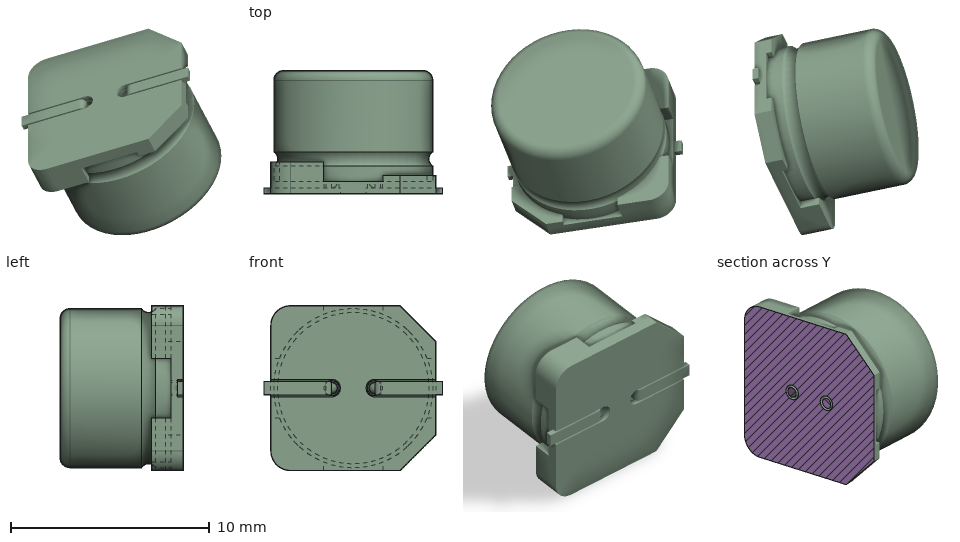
import cadquery as cq
import math


LEAD_SPAN = 9.0
TOTAL_DEPTH = 6.2
BASE_WIDTH = 8.3

CORNER_RADIUS = 1.0
CORNER_CHAMFER = 1.79
FLOOR_DEPTH = 0.62
TALL_POST_DEPTH = 1.6
SHORT_POST_DEPTH = 0.91
NOTCH_WIDTH = 3.01

CAN_RADIUS = 4.005
CAN_TOP_FILLET = 0.5
GROOVE_START = 1.395
GROOVE_END = 2.115
GROOVE_NECK_RADIUS = CAN_RADIUS - 0.2

LEAD_WIDTH = 0.675
LEAD_THICKNESS = 0.3
LEAD_TIP_X = 1.09
LEAD_BEND_LENGTH = 0.315
WIRE_RADIUS = 0.29
SLOT_WIDTH = 0.88
WIRE_HOLE_RADIUS = 0.38

HALF_BASE = BASE_WIDTH / 2
HALF_SPAN = LEAD_SPAN / 2


def box_between(x_range, y_range, z_range):
    """Axis-aligned box between the given limits."""
    sizes = [high - low for low, high in (x_range, y_range, z_range)]
    corner = (x_range[0], y_range[0], z_range[0])
    return cq.Workplane("XY").box(*sizes, centered=False).translate(corner)


def cylinder_along_y(radius, start, end, x=0):
    """Cylinder parallel to Y, centred on Z = 0."""
    return cq.Workplane("XZ").center(x, 0).circle(radius).extrude(-(end - start)).translate((0, start, 0))


def base_block():
    """Square block with two rounded corners at -X and two chamfered corners at +X."""
    block = box_between((-HALF_BASE, HALF_BASE), (0, TALL_POST_DEPTH), (-HALF_BASE, HALF_BASE))
    block = block.edges("|Y and <X").fillet(CORNER_RADIUS)
    return block.edges("|Y and >X").chamfer(CORNER_CHAMFER)


def lead_slot(side):
    """Round-ended slot for one lead, with the hole for its wire."""
    tip = side * LEAD_TIP_X
    outer = side * HALF_SPAN
    x_range = (min(tip, outer), max(tip, outer))
    slot = box_between(x_range, (0, LEAD_THICKNESS), (-SLOT_WIDTH / 2, SLOT_WIDTH / 2))
    slot = slot.union(cylinder_along_y(SLOT_WIDTH / 2, 0, LEAD_THICKNESS, tip))
    return slot.union(cylinder_along_y(WIRE_HOLE_RADIUS, 0, FLOOR_DEPTH, tip))


def make_base():
    """Base plate whose four corner posts surround the foot of the can."""
    half_notch = NOTCH_WIDTH / 2
    notch_depths = (FLOOR_DEPTH, TALL_POST_DEPTH)
    across_x = box_between((-HALF_BASE, HALF_BASE), notch_depths, (-half_notch, half_notch))
    across_z = box_between((-half_notch, half_notch), notch_depths, (-HALF_BASE, HALF_BASE))
    above_short_posts = box_between(
        (half_notch, HALF_BASE), (SHORT_POST_DEPTH, TALL_POST_DEPTH), (-HALF_BASE, HALF_BASE)
    )
    can_recess = cylinder_along_y(CAN_RADIUS, FLOOR_DEPTH, TALL_POST_DEPTH)
    body = base_block()
    for cutter in (across_x, across_z, above_short_posts, can_recess):
        body = body.cut(cutter)
    for side in (-1, 1):
        body = body.cut(lead_slot(side))
    return body


def make_can():
    """Revolved can with a rounded far rim and a round-bottomed groove near the base."""
    arc_inset = CAN_TOP_FILLET * (1 - math.sqrt(0.5))
    groove_middle = (GROOVE_START + GROOVE_END) / 2
    profile = (
        cq.Workplane("XY")
        .moveTo(0, FLOOR_DEPTH)
        .lineTo(CAN_RADIUS, FLOOR_DEPTH)
        .lineTo(CAN_RADIUS, GROOVE_START)
        .threePointArc((GROOVE_NECK_RADIUS, groove_middle), (CAN_RADIUS, GROOVE_END))
        .lineTo(CAN_RADIUS, TOTAL_DEPTH - CAN_TOP_FILLET)
        .threePointArc(
            (CAN_RADIUS - arc_inset, TOTAL_DEPTH - arc_inset),
            (CAN_RADIUS - CAN_TOP_FILLET, TOTAL_DEPTH),
        )
        .lineTo(0, TOTAL_DEPTH)
        .close()
    )
    return profile.revolve(360, (0, 0, 0), (0, 1, 0))


def make_lead(side):
    """Flat lead with a rounded inner end, joined to a round-nosed wire that reaches the can."""
    strip = (
        cq.Workplane("XY")
        .moveTo(HALF_SPAN, 0)
        .lineTo(LEAD_TIP_X + LEAD_BEND_LENGTH, 0)
        .tangentArcPoint((LEAD_TIP_X, LEAD_THICKNESS), relative=False)
        .lineTo(HALF_SPAN, LEAD_THICKNESS)
        .close()
        .extrude(LEAD_WIDTH / 2, both=True)
    )
    wire = cylinder_along_y(WIRE_RADIUS, LEAD_THICKNESS, FLOOR_DEPTH, LEAD_TIP_X)
    ball_centre = (LEAD_TIP_X, LEAD_THICKNESS + WIRE_RADIUS, 0)
    nose = wire.intersect(cq.Workplane("XY").sphere(WIRE_RADIUS).translate(ball_centre))
    under_strip = box_between(
        (LEAD_TIP_X, LEAD_TIP_X + WIRE_RADIUS), (LEAD_THICKNESS, FLOOR_DEPTH), (-WIRE_RADIUS, WIRE_RADIUS)
    )
    neck = wire.intersect(under_strip)
    root = cylinder_along_y(WIRE_RADIUS, ball_centre[1], FLOOR_DEPTH, LEAD_TIP_X)
    lead = strip.union(neck).union(nose).union(root)
    return lead if side > 0 else lead.mirror("YZ")


base = make_base()
can = make_can()
leads = [make_lead(side) for side in (-1, 1)]

result = cq.Compound.makeCompound([base.val(), can.val(), *[lead.val() for lead in leads]])